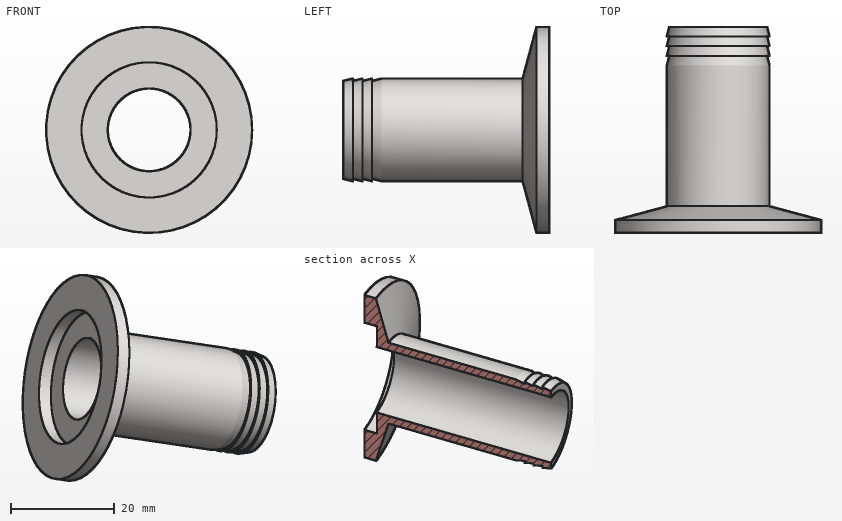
import cadquery as cq
import math

length = 40.0
flange_radius = 20.0
tube_radius = 10.0
bore_radius = 8.0

rim_thickness = 2.5
cone_angle = 15.0
cone_length = (flange_radius - tube_radius) * math.tan(math.radians(cone_angle))

recess_radius = 13.1
recess_depth = 2.6

barb_count = 4
barb_pitch = 1.9
barb_drop = 0.5
barb_start = length - barb_count * barb_pitch


def make_body():
    """Solid of revolution: flange, tube and barbs."""
    profile = (
        cq.Workplane("XY")
        .lineTo(flange_radius, 0)
        .lineTo(flange_radius, rim_thickness)
        .lineTo(tube_radius, rim_thickness + cone_length)
    )
    for i in range(barb_count):
        base = barb_start + i * barb_pitch
        profile = profile.lineTo(tube_radius, base)
        profile = profile.lineTo(tube_radius - barb_drop, base + barb_pitch)
    return profile.lineTo(0, length).close().revolve(360, (0, 0, 0), (0, 1, 0))


def make_cylinder(radius, depth):
    """Cylinder on the part axis, running from the flange face towards +Y."""
    return cq.Workplane("XZ").circle(radius).extrude(-depth)


bore = make_cylinder(bore_radius, length)
recess = make_cylinder(recess_radius, recess_depth)
result = make_body().cut(bore).cut(recess)